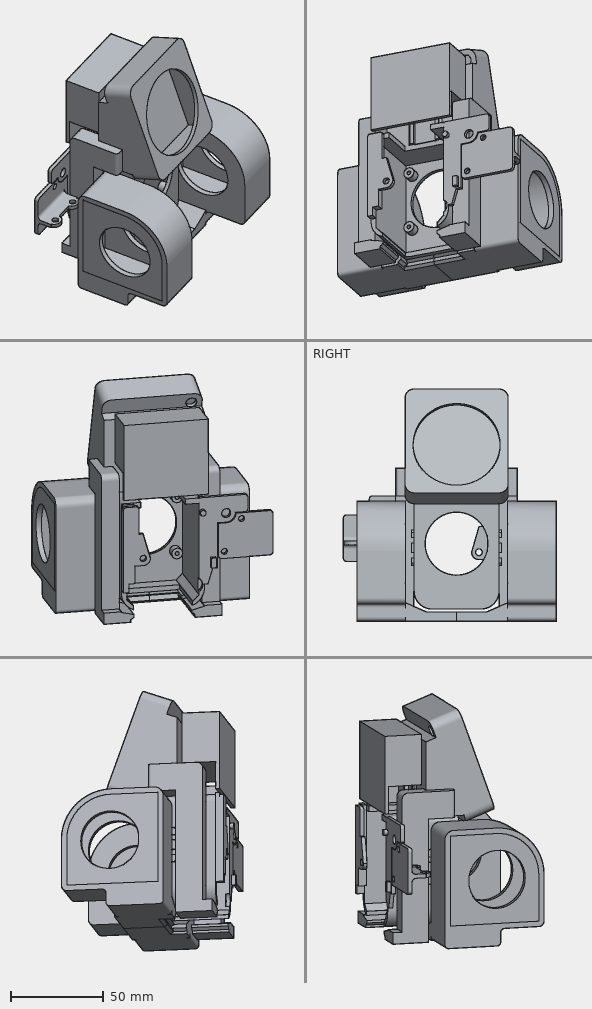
import cadquery as cq
import math

plate = 4.4 / 2
wall = 3.0

frame_width = 65.9
frame_depth = 20.1
frame_height = 82.9
upright_front = 5.2
foot_height = 6.4
arm_end = 35.2
arm_bottom = 67.9
arm_top_round = 3.4
arm_end_round = 1.9

tongue_root_top = 6.0
tongue_tip_top = 4.3
tip_half = 16.1
bevel_top = 2.9
bevel_bottom = 1.4
bevel_back = 1.8

shroud_width = 46.2
shroud_bottom = 6.5
shroud_depth = 40.1
shroud_back_wall = 2.1
shroud_top_round = 4.8
shroud_bottom_round = 10.0
cavity_width = 40.3
cavity_bottom = 9.3
cavity_top = 64.9
cavity_chamfer = 3.5
top_window_width = 24.8
floor_window_width = 32.7
floor_window_end = 29.6
fan_hole = 34
fan_center_z = 42.0
screw_spacing = 32.0
boss_diameter = 6.0
boss_hole = 2.1
boss_height = 5
pad_start = 21.3
pad_end = 32.7
pad_thickness = 1.3
pad_chamfer = 1.3
pad_middle_z = 39.8
pad_middle_height = 5.3
pad_outer_height = 4.0
pad_outer_offset = 7.5
relief_diameter = 8.2
relief_y = -18.1
relief_z = 18.2

flange_end = -47.3
flange_tail_bottom = 18.5
flange_inner = -30.5
tail_top = 27.3
tail_upper_y = -27.7
tail_lower_y = -25.0
lobe_y = -35.2
lobe_z = 58.1
lobe_radius = 5.2
lobe_hole = 5
flange_round = 1.6
pin_diameter = 3.3
pin_y = -21.9
pin_z = 59.8
key_y = -27.8
key_z = 31.0
key_width = 2.6
key_height = 5.5

tilt = math.radians(20)
head_width = 55.9
head_length = 59.9
head_thickness = 17.4
head_corner_x = 39.1
head_corner_z = 125.8
head_round = 5
head_lip = 8.8
head_rim = 2.4
head_opening = 47.0
head_screw = 6.0
head_screw_inset = 6.0
head_screw_depth = 2.5
post_inner = 6.5
post_outer = 8.5
post_root = 10.0
post_length = 1.6
post_step = 0.9
post_recess = 0.6

blower_gap = 55.4
blower_outer = 54.0
blower_front = 23.0
blower_back = 79.1
blower_top = 65.0
blower_bottom = 9.4
outlet_end = 54.6
blower_scroll = 27.0
blower_front_round = 5
blower_back_round = 3.0
outlet_round = 2.1
blower_hole = 32.0
blower_hole_x = 52.5
blower_hole_z = 36.7
bridge_top = 5
bridge_root_top = 8.0
bridge_overhang_bottom = 3.9
bridge_undercut = 1.9
bridge_lip = 0.9
bridge_foot = 2.5

box_width = 47.0
box_middle_y = -1.3
box_top = 113.2
box_bottom = 85.4
box_back = 18.5
box_skirt_bottom = 70.5

lever_hole = 3.5
lever_hole_y = 12.1
lever_hole_z = 37.4
lever_radius = 4.0
lever_top = 67.0
lever_edge = 14.5
lever_shoulder = 51.3
lever_step = 16.7
lever_step_z = 23.4
lever_round = 1.3

tab_plate_inner = -30.8
tab_plate_outer = -61.4
tab_plate_bottom = 32.3
tab_plate_top = 57.6
tab_plate_round = 1.9
plate_gap = 0.4
tab_plate_hole = 3.3
tab_plate_holes = [(-43.8, 54.3), (-34.2, 36.4)]
tab_z = 42.4
tab_start = -34.1
tab_edge = 10.3
tab_hole = 3.5
tab_hole_ys = [-38.6, -56.7]
tab_lobe_half = 4.2
tab_lobe_reach = 3.4

shroud_half = shroud_width / 2
cavity_half = cavity_width / 2
frame_half = frame_width / 2
head_half = head_width / 2
shroud_wall_end = shroud_depth - shroud_back_wall


def span(x, y, z):
    """Box between the (low, high) limits given for each axis."""
    size = (x[1] - x[0], y[1] - y[0], z[1] - z[0])
    return cq.Workplane("XY").box(*size, centered=False).translate((x[0], y[0], z[0]))


def at_x(x):
    """Workplane facing +X at the given X, with local axes Y and Z."""
    return cq.Workplane("YZ", origin=(x, 0, 0))


def at_y(y):
    """Workplane in the XZ plane at the given Y, with local axes X and Z; it extrudes to -Y."""
    return cq.Workplane("XZ", origin=(0, y, 0))


def mirrored(body):
    return body.mirror("XZ")


def upright():
    """The +Y upright with its arm and its foot."""
    outline = [
        (0, 0), (frame_depth, 0), (frame_depth, arm_bottom), (arm_end, arm_bottom),
        (arm_end, frame_height), (upright_front, frame_height), (upright_front, foot_height),
        (0, foot_height),
    ]
    body = at_y(frame_half).polyline(outline).close().extrude(frame_half - shroud_half)
    top_edge = cq.selectors.NearestToPointSelector((upright_front, frame_half, frame_height))
    body = body.edges("|Y").edges(top_edge).fillet(arm_top_round)
    body = body.edges("|Z and >X and >Y").fillet(arm_end_round)
    inside_head = span((frame_depth, arm_end), (shroud_half, head_half), (arm_bottom, frame_height))
    return body.cut(inside_head).union(tongue())


def tongue():
    """Sloping, bevelled tip of the foot."""
    section = [
        (shroud_half, 0), (shroud_half, tongue_root_top), (tip_half, tongue_tip_top),
        (tip_half, bevel_top), (tip_half + bevel_back, bevel_bottom), (tip_half + bevel_back, 0),
    ]
    return at_x(0).polyline(section).close().extrude(frame_depth)


def shroud():
    """Open-fronted fan duct with a round opening in its back wall."""
    body = span((0, shroud_depth), (-shroud_half, shroud_half), (shroud_bottom, arm_bottom))
    body = body.edges("|X and >Z").fillet(shroud_top_round)
    body = body.edges("|X and <Z").fillet(shroud_bottom_round)
    cavity = span((0, shroud_wall_end), (-cavity_half, cavity_half), (cavity_bottom, cavity_top))
    cavity = cavity.edges("|X and <Z").chamfer(cavity_chamfer)
    body = body.cut(cavity).union(shroud_bosses())
    top_half = top_window_width / 2
    floor_half = floor_window_width / 2
    body = body.cut(span((0, frame_depth), (-top_half, top_half), (cavity_top, arm_bottom)))
    body = body.cut(span((0, floor_window_end), (-floor_half, floor_half), (shroud_bottom, cavity_bottom)))
    opening = at_x(shroud_wall_end).center(0, fan_center_z).circle(fan_hole / 2).extrude(shroud_back_wall)
    return body.cut(opening)


def shroud_bosses():
    """Four drilled screw bosses on the back wall."""
    return (
        at_x(shroud_wall_end - boss_height).center(0, fan_center_z)
        .rect(screw_spacing, screw_spacing, forConstruction=True).vertices()
        .circle(boss_diameter / 2).circle(boss_hole / 2).extrude(boss_height)
    )


def side_pads():
    """Three raised pads on the +Y side of the shroud, chamfered at the corners of their block."""
    x = (pad_start, pad_end)
    y = (shroud_half, shroud_half + pad_thickness)
    half_middle = pad_middle_height / 2
    pads = span(x, y, (pad_middle_z - half_middle, pad_middle_z + half_middle))
    for side, far_end in [(1, ">Z"), (-1, "<Z")]:
        z = pad_middle_z + side * pad_outer_offset
        pad = span(x, y, (z - pad_outer_height / 2, z + pad_outer_height / 2))
        pads = pads.union(pad.edges("|Y").edges(far_end).chamfer(pad_chamfer))
    return pads


def flange():
    """Thin ear on the -Y side of the shroud front, with a locating pin and a key."""
    diagonal = lobe_radius * math.sqrt(0.5)
    body = (
        at_x(0).moveTo(-cavity_half, arm_bottom).lineTo(flange_end, arm_bottom)
        .lineTo(flange_end, lobe_z).lineTo(lobe_y - lobe_radius, lobe_z)
        .threePointArc((lobe_y - diagonal, lobe_z - diagonal), (lobe_y, lobe_z - lobe_radius))
        .lineTo(flange_inner, lobe_z - lobe_radius).lineTo(flange_inner, tail_top)
        .lineTo(tail_upper_y, tail_top).lineTo(tail_lower_y, flange_tail_bottom)
        .lineTo(-cavity_half, flange_tail_bottom).close().extrude(plate)
    )
    body = body.edges("|X and <Y").fillet(flange_round)
    body = body.cut(at_x(0).center(lobe_y, lobe_z).circle(lobe_hole / 2).extrude(plate))
    pin = at_x(-plate).center(pin_y, pin_z).circle(pin_diameter / 2).extrude(plate)
    key = at_x(-plate).center(key_y, key_z).rect(key_width, key_height).extrude(plate)
    return body.union(pin).union(key)


def head_point(along, inward):
    """XZ point measured from the top corner, down the tilted face and in from it."""
    x = head_corner_x + along * math.sin(tilt) - inward * math.cos(tilt)
    z = head_corner_z - along * math.cos(tilt) - inward * math.sin(tilt)
    return x, z


def head_plane(along, inward):
    """Plane parallel to the tilted face, facing out, with local X along +Y and local Y uphill."""
    x, z = head_point(along, inward)
    outward = (math.cos(tilt), 0, math.sin(tilt))
    return cq.Plane(origin=(x, 0, z), xDir=(0, 1, 0), normal=outward)


def head():
    """Tilted fan head on the vertical core that joins it to the frame."""
    middle = head_length / 2
    face = cq.Sketch().rect(head_width, head_length).vertices().fillet(head_round)
    slab = cq.Workplane(head_plane(middle, head_thickness)).placeSketch(face)
    slab = slab.extrude(head_thickness)
    lip_x, lip_z = head_point(head_lip, head_thickness)
    core_top = lip_z - (lip_x - frame_depth) * math.tan(tilt)
    toe_along = (head_corner_z - head_thickness * math.sin(tilt) - arm_bottom) / math.cos(tilt)
    core_outline = [
        (frame_depth, arm_bottom), (frame_depth, core_top), (lip_x, lip_z),
        head_point(toe_along, head_thickness),
    ]
    core = at_y(head_half).polyline(core_outline).close().extrude(head_width)

    pocket = cq.Workplane(head_plane(middle, head_thickness - wall))
    pocket = pocket.rect(head_width - 2 * wall, head_length - 2 * wall)
    pocket = pocket.extrude(head_thickness - wall - head_rim)
    opening = cq.Workplane(head_plane(head_length - head_half, head_rim))
    opening = opening.circle(head_opening / 2).extrude(head_rim)

    recess = cq.Workplane(head_plane(head_screw_inset, head_thickness))
    recess = recess.center(head_screw_inset - head_half, 0).circle(head_screw / 2).extrude(head_screw_depth)
    return slab.union(core).cut(pocket).cut(opening).cut(recess)


def head_post():
    """The +Y post on the front of the head core, with a gusset on its outer side."""
    front = frame_depth - post_length
    section = [
        (frame_depth, post_inner), (front, post_inner), (front, post_outer),
        (frame_depth - post_step, post_outer), (frame_depth, post_root),
    ]
    base = cq.Workplane("XY", origin=(0, 0, arm_bottom))
    return base.polyline(section).close().extrude(frame_height - arm_bottom)


def duct_frame():
    body = shroud().union(head()).union(flange())
    for half in (upright(), side_pads(), head_post()):
        body = body.union(half).union(mirrored(half))
    relief = at_x(0).center(relief_y, relief_z).circle(relief_diameter / 2).extrude(plate)
    between_posts = span(
        (frame_depth, frame_depth + post_recess), (-post_inner, post_inner), (arm_bottom, frame_height)
    )
    return body.cut(relief).cut(between_posts)


def scroll_outline(inset):
    """Box outline with one large round corner at the top back."""
    left = blower_front + inset
    right = blower_back - inset
    bottom = blower_bottom + inset
    top = blower_top - inset
    radius = blower_scroll - inset
    rise = radius * math.sqrt(0.5)
    return (
        at_y(blower_outer).moveTo(left, bottom).lineTo(right, bottom)
        .lineTo(right, top - radius)
        .threePointArc((right - radius + rise, top - radius + rise), (right - radius, top))
        .lineTo(left, top).close()
    )


def round_edge(body, x, z, radius):
    """Round the edge along Y nearest to the given X and Z."""
    nearest = cq.selectors.NearestToPointSelector((x, (blower_outer + blower_gap / 2) / 2, z))
    return body.edges("|Y").edges(nearest).fillet(radius)


def blower_eye():
    """Round air inlet through the +Y blower and its lid."""
    eye = at_y(blower_outer).center(blower_hole_x, blower_hole_z)
    return eye.circle(blower_hole / 2).extrude(blower_outer - blower_gap / 2)


def blower_housing():
    """The +Y blower, open towards +Y for its lid, with half of the outlet bridge."""
    depth = blower_outer - blower_gap / 2
    body = scroll_outline(0).extrude(depth)
    outlet = span((blower_front, outlet_end), (blower_gap / 2, blower_outer), (0, blower_bottom + wall))
    body = body.union(outlet)
    body = round_edge(body, blower_front, blower_top, blower_front_round)
    body = round_edge(body, blower_back, blower_bottom, blower_back_round)
    for x, z in [(blower_front, 0), (outlet_end, 0), (outlet_end, blower_bottom)]:
        body = round_edge(body, x, z, outlet_round)
    body = body.cut(scroll_outline(wall).extrude(depth - wall)).cut(blower_eye())
    return body.union(bridge())


def bridge():
    """Half of the outlet bridge: a thin slab below the shroud, notched at the front."""
    root = blower_gap / 2
    slope = (bridge_root_top - bridge_top) / (shroud_half - tip_half)
    section = [
        (0, 0), (root, 0), (root, bridge_top + slope * (root - tip_half)),
        (tip_half, bridge_top), (0, bridge_top),
    ]
    slab = at_x(blower_front).polyline(section).close().extrude(outlet_end - blower_front)
    return slab.cut(bridge_notch())


def bridge_notch():
    """Notch with bevelled sides and an undercut, lipped end."""
    lip = floor_window_end + bridge_lip
    foot_outline = [
        (blower_front, 0), (floor_window_end + bridge_foot, 0), (lip, bevel_bottom),
        (blower_front, bevel_bottom),
    ]
    foot = at_y(tip_half + bevel_back).polyline(foot_outline).close().extrude(tip_half + bevel_back)
    end_outline = [
        (blower_front, bevel_bottom), (lip, bevel_bottom),
        (floor_window_end + bridge_undercut, bridge_overhang_bottom),
        (floor_window_end, bridge_top), (blower_front, bridge_top),
    ]
    middle = at_y(tip_half).polyline(end_outline).close().extrude(tip_half)
    bevel_section = [
        (0, bevel_bottom), (tip_half + bevel_back, bevel_bottom),
        (tip_half, bevel_top), (0, bevel_top),
    ]
    bevelled = at_x(blower_front).polyline(bevel_section).close().extrude(lip - blower_front)
    return middle.union(bevelled).union(foot)


def blower_lid():
    """Flush lid that closes the +Y blower."""
    return scroll_outline(wall).extrude(wall).cut(blower_eye())


def drive_box():
    """Box whose front sheet hangs down as a skirt."""
    y = (box_middle_y - box_width / 2, box_middle_y + box_width / 2)
    body = span((-plate, box_back), y, (box_bottom, box_top))
    return body.union(span((-plate, 0), y, (box_skirt_bottom, box_bottom)))


def lever_bracket():
    """Bracket on the +Y side of the shroud front, with a drilled lever lobe."""
    lobe_tip = lever_hole_y - lever_radius
    lobe_bottom = lever_hole_z - lever_radius
    diagonal = lever_radius * math.sqrt(0.5)
    lever = (
        at_x(-2 * plate).moveTo(shroud_half, lever_top).lineTo(lever_edge, lever_top)
        .lineTo(lever_edge, lever_shoulder).lineTo(lever_hole_y, lever_shoulder)
        .lineTo(lobe_tip, lever_hole_z)
        .threePointArc((lever_hole_y - diagonal, lever_hole_z - diagonal), (lever_hole_y, lobe_bottom))
        .lineTo(shroud_half, lobe_bottom).close().extrude(plate)
    )
    lever = lever.edges("|X and >Z").fillet(lever_round)
    hole = at_x(-2 * plate).center(lever_hole_y, lever_hole_z).circle(lever_hole / 2).extrude(plate)
    lever = lever.cut(hole)
    backing = span((-plate, 0), (lever_step, shroud_half), (lever_step_z, arm_bottom))
    post = span((-2 * plate, 0), (lever_step, shroud_half), (lever_step_z, lobe_bottom))
    leg = span((-2 * plate, 0), (cavity_half, shroud_half), (flange_tail_bottom, lever_step_z))
    return lever.union(backing).union(post).union(leg)


def tabbed_plate():
    """Upright plate beside the flange, with a horizontal two-lobed tab behind it."""
    body = span((0, plate), (tab_plate_outer, tab_plate_inner), (tab_plate_bottom, tab_plate_top))
    body = body.edges("|X").fillet(tab_plate_round)
    clearance = lobe_radius + plate_gap
    body = body.cut(at_x(0).center(lobe_y, lobe_z).circle(clearance).extrude(plate))
    body = body.cut(span((0, plate), (lobe_y, tab_plate_inner), (lobe_z - clearance, tab_plate_top)))
    body = body.cut(at_x(0).pushPoints(tab_plate_holes).circle(tab_plate_hole / 2).extrude(plate))
    return body.union(tab())


def tab():
    """Horizontal tab with two drilled lobes, filleted into the plate above and below."""
    low = tab_z - plate / 2
    high = tab_z + plate / 2
    body = span((plate, tab_edge), (tab_plate_outer, tab_start), (low, high))
    for y in tab_hole_ys:
        lobe = (
            cq.Workplane("XY", origin=(tab_edge, y, low)).moveTo(0, -tab_lobe_half)
            .threePointArc((tab_lobe_reach, 0), (0, tab_lobe_half)).close().extrude(plate)
        )
        hole = cq.Workplane("XY", origin=(tab_edge, y, low)).circle(tab_hole / 2).extrude(plate)
        body = body.union(lobe).cut(hole)
    root = span((plate, 2 * plate), (tab_plate_outer, tab_start), (low - plate, high + plate))
    for z in (low - plate, high + plate):
        scoop = at_y(tab_start).center(2 * plate, z).circle(plate).extrude(tab_start - tab_plate_outer)
        root = root.cut(scoop)
    return body.union(root)


housing = blower_housing()
lid = blower_lid()
blowers = []
for part in (housing, lid):
    blowers.append(part.val())
    blowers.append(mirrored(part).val())

result = cq.Compound.makeCompound([
    duct_frame().val(),
    drive_box().val(),
    lever_bracket().val(),
    tabbed_plate().val(),
    *blowers,
])